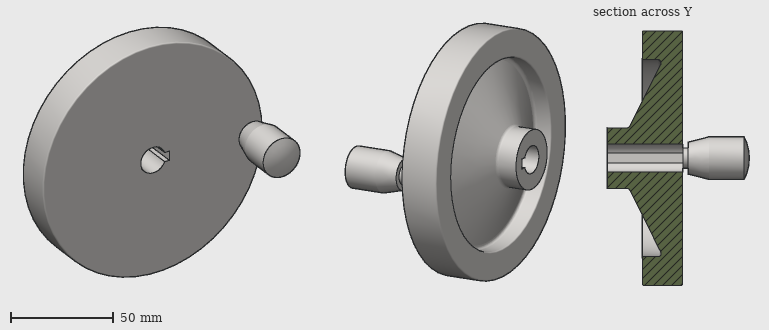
import cadquery as cq
import math

wheel_diameter = 125.0
hub_diameter = 30.0
bore_diameter = 14.0
recess_diameter = 96.4
rim_front = 17.2
rim_width = 19.9
rim_back = rim_front + rim_width
hub_length = 10.7
web_slope = 0.5
rim_edge_round = 0.8
hub_root_round = 1.5
recess_root_round = 1.4

keyway_width = 5.0
keyway_reach = 9.2

grip_diameter = 21.0
grip_neck_diameter = 15.8
stem_diameter = 10.1
grip_offset = 55.3
stem_length = 2.6
grip_taper_length = 10.3
grip_cylinder_length = 17.2
overall_length = 69.7


def circle_at(x, radius):
    """Return a test for the circular edge around X at the given place."""
    def matches(edge):
        if edge.geomType() != "CIRCLE":
            return False
        return math.isclose(edge.Center().x, x, abs_tol=0.0001) and math.isclose(
            edge.radius(), radius, abs_tol=0.0001
        )
    return matches


def make_wheel():
    wheel_radius = wheel_diameter / 2
    hub_radius = hub_diameter / 2
    recess_radius = recess_diameter / 2
    recess_bottom = hub_length + web_slope * (recess_radius - hub_radius)
    wheel = (
        cq.Workplane("XY")
        .polyline([
            (0, 0),
            (0, hub_radius),
            (hub_length, hub_radius),
            (recess_bottom, recess_radius),
            (rim_front, recess_radius),
            (rim_front, wheel_radius),
            (rim_back, wheel_radius),
            (rim_back, 0),
        ])
        .close()
        .revolve(360, (0, 0), (1, 0))
    )
    rounds = [
        (hub_length, hub_radius, hub_root_round),
        (recess_bottom, recess_radius, recess_root_round),
        (rim_front, recess_radius, rim_edge_round),
        (rim_front, wheel_radius, rim_edge_round),
        (rim_back, wheel_radius, rim_edge_round),
    ]
    for x, radius, round_radius in rounds:
        wheel = wheel.edges().filter(circle_at(x, radius)).fillet(round_radius)
    return wheel


def make_keyed_bore():
    bore = cq.Workplane("YZ").circle(bore_diameter / 2).extrude(rim_back)
    keyway = cq.Workplane("XY").box(
        rim_back, keyway_reach, keyway_width, centered=(False, False, True)
    )
    return bore.union(keyway)


def make_grip():
    grip_radius = grip_diameter / 2
    neck_x = rim_back + stem_length
    cylinder_start = neck_x + grip_taper_length
    cylinder_end = cylinder_start + grip_cylinder_length
    dome_height = overall_length - cylinder_end
    dome_radius = (grip_radius**2 + dome_height**2) / (2 * dome_height)
    mid_radius = grip_radius / 2
    mid_x = overall_length - dome_radius + math.sqrt(dome_radius**2 - mid_radius**2)
    return (
        cq.Workplane("XY")
        .moveTo(rim_back, 0)
        .lineTo(rim_back, stem_diameter / 2)
        .lineTo(neck_x, stem_diameter / 2)
        .lineTo(neck_x, grip_neck_diameter / 2)
        .lineTo(cylinder_start, grip_radius)
        .lineTo(cylinder_end, grip_radius)
        .threePointArc((mid_x, mid_radius), (overall_length, 0))
        .close()
        .revolve(360, (0, 0), (1, 0))
        .translate((0, grip_offset, 0))
    )


result = make_wheel().cut(make_keyed_bore()).union(make_grip())